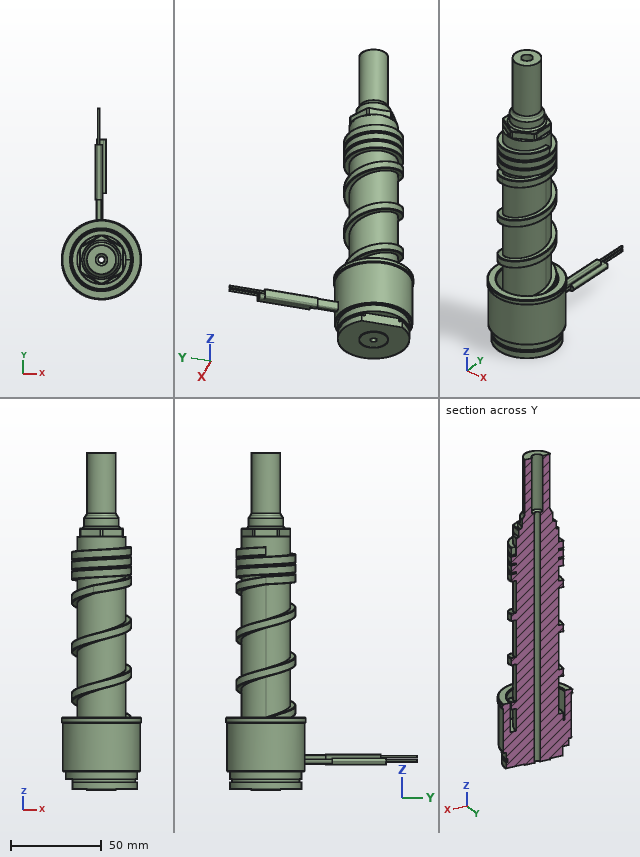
import cadquery as cq
import math


TOTAL_HEIGHT = 186.0
SHAFT_DIA = 16.0
BORE_DIA = 6.5
BORE_DEPTH = 33.5
PILOT_DIA = 3.5
DRILL_TIP_ANGLE = 120.0
TUBE_DIA = 27.0
TUBE_TOP = 139.7

NUT_FLATS = 24.0
NUT_CORNER_DIA = TUBE_DIA
NUT_TOP = 144.3
NUT_CHAMFER = 0.4
COLLAR_BASE_DIA = 21.5
NECK_DIA = 19.3
NECK_BOTTOM = 145.5
NECK_TOP = 150.0
NECK_CONE_TOP = 151.5
FLARE_DIA = 17.1
FLARE_TOP = 152.7

RIM_DIA = 44.0
RIM_HEIGHT = 3.2
CUP_DIA = 43.0
CUP_TOP = 40.2
CUP_BOTTOM = 10.2
CUP_BORE_DIA = 33.9
CUP_FLOOR = 22.3
CUP_CHAMFER = 0.5

FOOT_DIA = 39.6
FOOT_BOTTOM = 0.5
GROOVE_DIA = 37.4
GROOVE_BOTTOM = 4.5
GROOVE_TOP = 6.1
FLAT_OFFSET = 16.0

COIL_DIA = 33.0
COIL_HEIGHT = 4.6
COIL_CHAMFER = 0.4
COIL_SINK = 0.5
OPEN_PITCH = 27.0
CLOSED_PITCH = 5.4
CLOSED_TURNS = 3
CLOSING_PITCH = 16.5
CLOSING_ANGLE = 106.0
CLOSED_START_HEIGHT = 115.7
FULL_TURN = 360.0

TOTAL_DEPTH = 105.5
CABLE_EMBED = 2.8
CABLE_ROOT = CUP_DIA / 2 - CABLE_EMBED
OVERLAP = 0.4
LEAD_WIRE_DIA = 1.3
CABLE_X = -1.5
LEAD_WIRE_TIP = TOTAL_DEPTH - RIM_DIA / 2

UPPER_Z = 17.0
UPPER_WIRE_Z = 18.5
UPPER_LEAD_WIDTH = 2.6
UPPER_LEAD_HEIGHT = 5.2
UPPER_LEAD_CORNER = 0.5
UPPER_SLEEVE_WIDTH = 3.7
UPPER_SLEEVE_HEIGHT = 5.8
UPPER_SLEEVE_CORNER = 1.0
UPPER_SLEEVE_START = 33.1
UPPER_SLEEVE_END = 63.5

LOWER_X = 0.0
LOWER_Z = 15.8
LOWER_WIRE_Z = 16.2
LOWER_LEAD_X = -0.7
LOWER_LEAD_WIDTH = 3.2
LOWER_LEAD_HEIGHT = 2.6
LOWER_LEAD_CORNER = 1.0
LOWER_SLEEVE_WIDTH = 5.2
LOWER_SLEEVE_HEIGHT = 3.7
LOWER_SLEEVE_CORNER = 1.7
LOWER_SLEEVE_START = 36.6
LOWER_SLEEVE_END = 66.4


def cylinder(diameter, bottom, top):
    return cq.Workplane("XY").workplane(offset=bottom).circle(diameter / 2).extrude(top - bottom)


def cone(bottom_diameter, top_diameter, bottom, top):
    return (
        cq.Workplane("XY")
        .workplane(offset=bottom)
        .circle(bottom_diameter / 2)
        .workplane(offset=top - bottom)
        .circle(top_diameter / 2)
        .loft(ruled=True)
    )


def bar_along_y(x, z, width, height, corner, start, end):
    """Straight bar from Y = start to Y = end with rounded long edges."""
    bar = cq.Workplane("XY").box(width, end - start, height).edges("|Y").fillet(corner)
    return bar.translate((x, (start + end) / 2, z))


def wire_along_y(x, z, start, end):
    return (
        cq.Workplane("XZ", origin=(x, start, z))
        .circle(LEAD_WIRE_DIA / 2)
        .extrude(start - end)
    )


def coil_section(pitch, turns, start_angle, start_height):
    """Right-handed stretch of flat spring wire that starts at the given angle and height."""
    inner = TUBE_DIA / 2 - COIL_SINK
    outer = COIL_DIA / 2
    half_height = COIL_HEIGHT / 2
    path = cq.Wire.makeHelix(pitch, pitch * turns, inner)
    stretch = (
        cq.Workplane("XZ")
        .polyline([
            (inner, -half_height),
            (outer - COIL_CHAMFER, -half_height),
            (outer, COIL_CHAMFER - half_height),
            (outer, half_height - COIL_CHAMFER),
            (outer - COIL_CHAMFER, half_height),
            (inner, half_height),
        ])
        .close()
        .sweep(cq.Workplane(obj=path), isFrenet=True)
    )
    return stretch.rotate((0, 0, 0), (0, 0, 1), start_angle).translate((0, 0, start_height))


shaft = cylinder(SHAFT_DIA, 0, TOTAL_HEIGHT)
neck = cylinder(NECK_DIA, NUT_TOP, NECK_TOP)
neck_cone = cone(NECK_DIA, FLARE_DIA, NECK_TOP, NECK_CONE_TOP)
flare = cone(FLARE_DIA, SHAFT_DIA, NECK_CONE_TOP, FLARE_TOP)
collar = cone(COLLAR_BASE_DIA, NECK_DIA, NUT_TOP, NECK_BOTTOM)
tube = cylinder(TUBE_DIA, CUP_BOTTOM, TUBE_TOP)
nut = (
    cq.Workplane("XY")
    .workplane(offset=TUBE_TOP)
    .polygon(6, NUT_FLATS / math.cos(math.pi / 6))
    .extrude(NUT_TOP - TUBE_TOP)
    .rotate((0, 0, 0), (0, 0, 1), 30)
    .intersect(cylinder(NUT_CORNER_DIA, TUBE_TOP, NUT_TOP))
    .faces("<Z or >Z")
    .chamfer(NUT_CHAMFER)
)

cup = cylinder(CUP_DIA, CUP_BOTTOM, CUP_TOP).faces("<Z").chamfer(CUP_CHAMFER)
rim = cylinder(RIM_DIA, CUP_TOP - RIM_HEIGHT, CUP_TOP).edges().chamfer(CUP_CHAMFER)
cup_bore = cylinder(CUP_BORE_DIA, CUP_FLOOR, CUP_TOP)
cup_mouth = cone(CUP_BORE_DIA, CUP_BORE_DIA + 2 * CUP_CHAMFER, CUP_TOP - CUP_CHAMFER, CUP_TOP)
cup = cup.union(rim).cut(cup_bore).cut(cup_mouth)

foot = (
    cylinder(FOOT_DIA, FOOT_BOTTOM, GROOVE_BOTTOM)
    .union(cylinder(GROOVE_DIA, GROOVE_BOTTOM, GROOVE_TOP))
    .cut(
        cq.Workplane("XY")
        .box(FOOT_DIA, 2 * FOOT_DIA, GROOVE_TOP, centered=(True, True, False))
        .translate((-FLAT_OFFSET - FOOT_DIA / 2, 0, 0))
    )
    .union(cylinder(FOOT_DIA, GROOVE_TOP, CUP_BOTTOM))
)

closing_turns = CLOSING_ANGLE / FULL_TURN
open_end_height = CLOSED_START_HEIGHT - CLOSING_PITCH * closing_turns
open_start_height = CUP_FLOOR + COIL_HEIGHT / 2 - COIL_SINK
open_turns = (open_end_height - open_start_height) / OPEN_PITCH
open_start_angle = -CLOSING_ANGLE - FULL_TURN * open_turns
coil = (
    coil_section(OPEN_PITCH, open_turns, open_start_angle, open_start_height)
    .union(coil_section(CLOSING_PITCH, closing_turns, -CLOSING_ANGLE, open_end_height))
    .union(coil_section(CLOSED_PITCH, CLOSED_TURNS, 0, CLOSED_START_HEIGHT))
)

upper_lead = bar_along_y(
    CABLE_X, UPPER_Z, UPPER_LEAD_WIDTH, UPPER_LEAD_HEIGHT, UPPER_LEAD_CORNER,
    CABLE_ROOT, UPPER_SLEEVE_START + OVERLAP,
)
upper_sleeve = bar_along_y(
    CABLE_X, UPPER_Z, UPPER_SLEEVE_WIDTH, UPPER_SLEEVE_HEIGHT, UPPER_SLEEVE_CORNER,
    UPPER_SLEEVE_START, UPPER_SLEEVE_END,
)
upper_wire = wire_along_y(CABLE_X, UPPER_WIRE_Z, UPPER_SLEEVE_END - OVERLAP, LEAD_WIRE_TIP)
upper_cable = upper_lead.union(upper_sleeve).union(upper_wire)

lower_lead = bar_along_y(
    LOWER_LEAD_X, LOWER_Z, LOWER_LEAD_WIDTH, LOWER_LEAD_HEIGHT, LOWER_LEAD_CORNER,
    CABLE_ROOT, LOWER_SLEEVE_START + OVERLAP,
)
lower_sleeve = bar_along_y(
    LOWER_X, LOWER_Z, LOWER_SLEEVE_WIDTH, LOWER_SLEEVE_HEIGHT, LOWER_SLEEVE_CORNER,
    LOWER_SLEEVE_START, LOWER_SLEEVE_END,
)
lower_wire = wire_along_y(CABLE_X, LOWER_WIRE_Z, LOWER_SLEEVE_END - OVERLAP, LEAD_WIRE_TIP)
lower_cable = lower_lead.union(lower_sleeve).union(lower_wire)

tip_height = (BORE_DIA - PILOT_DIA) / 2 / math.tan(math.radians(DRILL_TIP_ANGLE / 2))
bore_bottom = TOTAL_HEIGHT - BORE_DEPTH
bore = (
    cylinder(BORE_DIA, bore_bottom, TOTAL_HEIGHT)
    .union(cone(PILOT_DIA, BORE_DIA, bore_bottom - tip_height, bore_bottom))
    .union(cylinder(PILOT_DIA, 0, bore_bottom))
)

result = tube.union(coil)
for feature in (shaft, neck, neck_cone, flare, collar, nut, cup, foot, upper_cable, lower_cable):
    result = result.union(feature)
result = result.cut(bore)